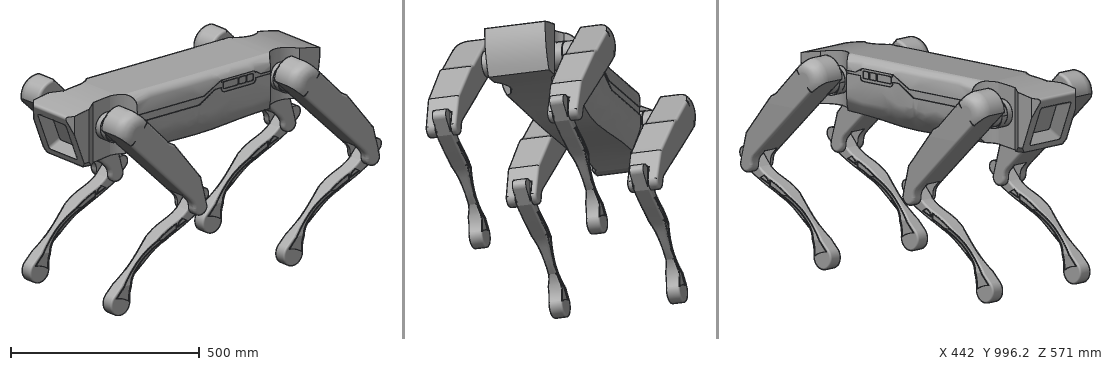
import cadquery as cq
import math


HEIGHT = 571.0
HIP_PITCH = 600.0
HIP_Z = 493.0
HIP_YS = (-HIP_PITCH / 2, HIP_PITCH / 2)
SIDES = (-1, 1)
REACH = 1195.0

COLLAR_DIA = 75.0
COLLAR_SHIFT = 3.0
COLLAR_ROOT_X = 40.0
COLLAR_FACE_X = 101.0
SHAFT_DIA = 69.0
SHAFT_END_X = 80.0

TRUNK_HALF_WIDTH = 110.0
NOSE_TOP = (-446.0, 548.0)
NOSE_BOTTOM = (-388.0, 397.0)
NOSE_CORNER_RADIUS = 8.0
NOSE_HALF_WIDTH = 84.0
TAIL_HALF_WIDTH = 86.0
WAIST_HALF_WIDTH = 61.0
NOSE_CLEAR_Y = -449.0
RECESS_FRONT_Y = -229.0
RECESS_REAR_Y = 231.0

POCKET_CENTRE_Z = 468.0
POCKET_DEPTH = 27.0
POCKET_MOUTH = (117.0, 116.0)
POCKET_FLOOR = (71.0, 78.0)
POCKET_CORNER_RADIUS = 7.0

STRIP_DEPTH = 3.0
PANEL_Y = 123.0
PANEL_Z = 529.0
PANEL_SIZE = (120.0, 36.0)
PANEL_RADIUS = 12.0
PORT_DEPTH = 5.0
PORT_HEIGHT = 20.0
PORT_RADIUS = 4.0
PORTS = ((163.0, 22.0), (137.0, 25.0), (97.0, 52.0))

THIGH_INNER_X = 128.0
THIGH_OUTER_X = 221.0
KNEE_OUTER_X = 215.0
THIGH_TAPER_Z = 433.0
HIP_ARC_RADIUS = 58.0
HIP_ARC_Y = -17.0
HIP_ARC_Z = HEIGHT - HIP_ARC_RADIUS
HIP_DOME_RADIUS = 36.0
THIGH_EDGE_RADIUS = 8.0
KNEE_Y = 202.0
KNEE_Z = 254.0
KNEE_RADIUS = 23.0
SLOT_TOP_Z = 293.0

CALF_X = 166.0
CALF_WIDTH = 45.0
CALF_NECK_WIDTH = 24.0
FOOT_WIDTH = 39.0
CALF_TAPER_Z = 181.0
CALF_NECK_Z = 108.0
FOOT_TAPER_Z = 78.0
FOOT_RADIUS = 33.0
FOOT_Y = -52.0
HEEL_RADIUS = 18.0
HEEL_Y = 235.0
HEEL_STEP_Y = 219.0
HEEL_WIDTH = 38.0
HEEL_Z = SLOT_TOP_Z - HEEL_RADIUS
CALF_EDGE_RADIUS = 5.0
WEB_RECESS = 3.0

DIAGONAL = math.sqrt(0.5)


def trunk_side():
    """Side silhouette of the trunk, extruded across X."""
    return (
        cq.Workplane("YZ", origin=(-REACH / 2, 0, 0))
        .moveTo(-269.0, HEIGHT)
        .lineTo(239.0, HEIGHT)
        .tangentArcPoint((423.0, 548.0), relative=False)
        .threePointArc((418.0, 489.0), (394.0, 420.0))
        .lineTo(319.0, 420.0)
        .spline([(224.0, 417.0), (145.0, 411.0), (62.0, 400.0), (-95.0, 400.0), (-353.0, 394.0)], includeCurrent=True)
        .lineTo(*NOSE_BOTTOM)
        .lineTo(*NOSE_TOP)
        .threePointArc((-358.0, 563.0), (-269.0, HEIGHT))
        .close()
        .extrude(REACH)
        .edges(cq.selectors.NearestToPointSelector((0, *NOSE_TOP)))
        .fillet(NOSE_CORNER_RADIUS)
    )


def trunk_section():
    """Cross-section of the trunk, extruded along Y."""
    half = (
        cq.Workplane("XZ", origin=(0, REACH / 2, 0))
        .moveTo(0, HEIGHT)
        .lineTo(78.0, HEIGHT)
        .spline(
            [
                (96.0, 563.0),
                (105.0, 552.0),
                (108.0, 530.0),
                (TRUNK_HALF_WIDTH, 492.0),
                (108.0, 454.0),
                (102.0, 439.0),
                (66.0, 388.0),
            ],
            includeCurrent=True,
        )
        .lineTo(0, 388.0)
        .close()
        .extrude(REACH)
    )
    return half.union(half.mirror("YZ"))


def hip_recess(side):
    """Recesses that leave room for the hips, and trims beside the nose and tail."""
    front = (
        cq.Workplane("XY")
        .moveTo(REACH, RECESS_FRONT_Y)
        .lineTo(TRUNK_HALF_WIDTH, RECESS_FRONT_Y)
        .threePointArc((80.0, -248.0), (WAIST_HALF_WIDTH, -284.0))
        .lineTo(WAIST_HALF_WIDTH, -344.0)
        .lineTo(NOSE_HALF_WIDTH, -377.0)
        .lineTo(NOSE_HALF_WIDTH, -427.0)
        .lineTo(WAIST_HALF_WIDTH, NOSE_CLEAR_Y)
        .lineTo(REACH, NOSE_CLEAR_Y)
        .close()
        .extrude(REACH)
    )
    rear = (
        cq.Workplane("XY")
        .moveTo(REACH, RECESS_REAR_Y)
        .lineTo(TRUNK_HALF_WIDTH, RECESS_REAR_Y)
        .lineTo(76.0, 256.0)
        .threePointArc((WAIST_HALF_WIDTH, 301.0), (TAIL_HALF_WIDTH, 352.0))
        .lineTo(TAIL_HALF_WIDTH, REACH)
        .lineTo(REACH, REACH)
        .close()
        .extrude(REACH)
    )
    recess = front.union(rear)
    return recess if side > 0 else recess.mirror("YZ")


def sensor_pocket():
    """Tapered pocket sunk square to the sloping nose face."""
    run_y = NOSE_BOTTOM[0] - NOSE_TOP[0]
    drop_z = NOSE_TOP[1] - NOSE_BOTTOM[1]
    centre_y = NOSE_TOP[0] + run_y * (NOSE_TOP[1] - POCKET_CENTRE_Z) / drop_z
    face = cq.Plane(
        origin=(0, centre_y, POCKET_CENTRE_Z),
        xDir=(1, 0, 0),
        normal=(0, drop_z, run_y),
    )
    mouth = cq.Sketch().rect(*POCKET_MOUTH).vertices().fillet(POCKET_CORNER_RADIUS)
    floor = cq.Sketch().rect(*POCKET_FLOOR).vertices().fillet(POCKET_CORNER_RADIUS)
    floor = floor.moved(cq.Location(cq.Vector(0, 0, POCKET_DEPTH)))
    return cq.Workplane(face).placeSketch(mouth, floor).loft()


def flank_cut(depth, outline):
    """Cutter that sinks a YZ sketch to a depth in the +X flank."""
    plane = cq.Workplane("YZ", origin=(TRUNK_HALF_WIDTH - depth, 0, 0))
    return plane.placeSketch(outline).extrude(REACH)


def flank_trim(side):
    """Trim strip, port panel and ports of one flank."""
    rear_strip = cq.Sketch().polygon(
        [(239.0, 532.0), (200.0, 532.0), (181.0, 543.0), (181.0, 525.0), (239.0, 525.0), (239.0, 532.0)]
    )
    front_strip = cq.Sketch().polygon(
        [
            (64.0, 546.0),
            (2.0, 515.0),
            (-239.0, 515.0),
            (-239.0, 494.0),
            (-15.0, 494.0),
            (41.0, 525.0),
            (64.0, 525.0),
            (64.0, 546.0),
        ]
    )
    panel = cq.Sketch().push([(PANEL_Y, PANEL_Z)]).rect(*PANEL_SIZE).reset().vertices().fillet(PANEL_RADIUS)
    cuts = flank_cut(STRIP_DEPTH, rear_strip)
    cuts = cuts.union(flank_cut(STRIP_DEPTH, front_strip))
    cuts = cuts.union(flank_cut(STRIP_DEPTH, panel))
    for port_y, length in PORTS:
        port = cq.Sketch().push([(port_y, PANEL_Z)]).rect(length, PORT_HEIGHT)
        port = port.reset().vertices().fillet(PORT_RADIUS)
        cuts = cuts.union(flank_cut(PORT_DEPTH, port))
    return cuts if side > 0 else cuts.mirror("YZ")


def hip_collar(side, hip_y):
    """Collar on the trunk around one hip shaft, set slightly off the shaft axis."""
    centre = (hip_y + COLLAR_SHIFT, HIP_Z - COLLAR_SHIFT)
    collar = (
        cq.Workplane("YZ", origin=(side * COLLAR_ROOT_X, 0, 0))
        .center(*centre)
        .circle(COLLAR_DIA / 2)
        .extrude(side * (COLLAR_FACE_X - COLLAR_ROOT_X))
    )
    socket = (
        cq.Workplane("YZ", origin=(side * SHAFT_END_X, hip_y, HIP_Z))
        .circle(SHAFT_DIA / 2)
        .extrude(side * (COLLAR_FACE_X - SHAFT_END_X))
    )
    return collar.cut(socket)


def make_trunk():
    body = trunk_side().intersect(trunk_section())
    for side in SIDES:
        body = body.cut(hip_recess(side)).cut(flank_trim(side))
    body = body.cut(sensor_pocket())
    for side in SIDES:
        for hip_y in HIP_YS:
            body = body.union(hip_collar(side, hip_y))
    return body


def thigh_blank():
    """Side silhouette of the thigh, from the hip arc round to the knee."""
    mid = HIP_ARC_RADIUS * DIAGONAL
    return (
        cq.Workplane("YZ", origin=(THIGH_INNER_X, 0, 0))
        .moveTo(HIP_ARC_Y, HEIGHT)
        .threePointArc((HIP_ARC_Y - mid, HIP_ARC_Z + mid), (HIP_ARC_Y - HIP_ARC_RADIUS, HIP_ARC_Z))
        .lineTo(162.0, 286.0)
        .spline([(KNEE_Y - KNEE_RADIUS, KNEE_Z)], tangents=[(1, -1), (0, -1)], includeCurrent=True)
        .threePointArc((KNEE_Y, KNEE_Z - KNEE_RADIUS), (KNEE_Y + KNEE_RADIUS, KNEE_Z))
        .lineTo(201.0, 341.0)
        .lineTo(190.0, 354.0)
        .lineTo(108.0, 453.0)
        .lineTo(90.0, 463.0)
        .close()
        .extrude(THIGH_OUTER_X - THIGH_INNER_X)
    )


def thigh_taper():
    """Wedge outside the outer face, which leans inward towards the knee."""
    knee_bottom = KNEE_Z - KNEE_RADIUS
    return (
        cq.Workplane("XZ")
        .moveTo(THIGH_OUTER_X, THIGH_TAPER_Z)
        .lineTo(KNEE_OUTER_X, knee_bottom)
        .lineTo(REACH, knee_bottom)
        .lineTo(REACH, THIGH_TAPER_Z)
        .close()
        .extrude(REACH, both=True)
    )


def hip_dome_cut():
    """Material outside the rounded outer rim of the hip end."""
    inner_radius = HIP_ARC_RADIUS - HIP_DOME_RADIUS
    base_x = THIGH_OUTER_X - HIP_DOME_RADIUS
    mid = HIP_DOME_RADIUS * DIAGONAL
    ring = (
        cq.Workplane("XY", origin=(0, HIP_ARC_Y, HIP_ARC_Z))
        .moveTo(THIGH_OUTER_X, inner_radius)
        .threePointArc((base_x + mid, inner_radius + mid), (base_x, HIP_ARC_RADIUS))
        .lineTo(base_x, 2 * HIP_ARC_RADIUS)
        .lineTo(THIGH_OUTER_X + 10, 2 * HIP_ARC_RADIUS)
        .lineTo(THIGH_OUTER_X + 10, inner_radius)
        .close()
        .revolve(360, (0, 0, 0), (1, 0, 0))
    )
    beyond_axis = (
        cq.Workplane("XY")
        .box(REACH, REACH, REACH, centered=(True, True, False))
        .rotate((0, 0, 0), (1, 0, 0), 45)
        .translate((0, HIP_ARC_Y, HIP_ARC_Z))
    )
    return ring.intersect(beyond_axis)


def make_thigh():
    """Thigh on the +X side with its hip axis at Y = 0."""
    thigh = thigh_blank().cut(thigh_taper())
    outer_faces = cq.selectors.BoxSelector((KNEE_OUTER_X, -REACH, 0), (REACH, REACH, REACH))
    thigh = thigh.faces(outer_faces).edges("not |Y").fillet(THIGH_EDGE_RADIUS)
    thigh = thigh.faces("<X").edges().fillet(THIGH_EDGE_RADIUS)
    thigh = thigh.cut(hip_dome_cut())
    slot = (
        cq.Workplane("XY", origin=(CALF_X, 0, 0))
        .rect(CALF_WIDTH, REACH)
        .extrude(SLOT_TOP_Z)
    )
    shaft = (
        cq.Workplane("YZ", origin=(SHAFT_END_X, 0, HIP_Z))
        .circle(SHAFT_DIA / 2)
        .extrude(THIGH_INNER_X + 10 - SHAFT_END_X)
    )
    return thigh.cut(slot).union(shaft)


def calf_side():
    """Side silhouette of the calf: heel, S-shaped shank and round foot."""
    side = HEEL_RADIUS * DIAGONAL
    foot = FOOT_RADIUS * DIAGONAL
    return (
        cq.Workplane("YZ", origin=(CALF_X - CALF_WIDTH, 0, 0))
        .moveTo(HEEL_Y, SLOT_TOP_Z)
        .threePointArc((HEEL_Y + HEEL_RADIUS, HEEL_Z), (HEEL_Y + side, HEEL_Z - side))
        .lineTo(211.0, 228.0)
        .spline([(179.0, 211.0), (146.0, 196.0), (86.0, 167.0), (56.0, 143.0), (3.0, 103.0)], includeCurrent=True)
        .threePointArc((-14.0, 73.0), (FOOT_Y + FOOT_RADIUS, FOOT_RADIUS))
        .threePointArc((FOOT_Y - foot, FOOT_RADIUS - foot), (FOOT_Y - foot, FOOT_RADIUS + foot))
        .lineTo(9.0, 136.0)
        .spline([(42.0, 166.0), (73.0, 190.0), (103.0, 208.0), (139.0, 223.0), (176.0, 245.0)], includeCurrent=True)
        .lineTo(219.0, SLOT_TOP_Z)
        .close()
        .extrude(2 * CALF_WIDTH)
    )


def calf_front(inset):
    """Front silhouette of the calf, narrowed by an inset on each side."""
    knee = CALF_WIDTH / 2 - inset
    neck = CALF_NECK_WIDTH / 2 - inset
    foot = FOOT_WIDTH / 2 - inset
    return (
        cq.Workplane("XZ", origin=(CALF_X, REACH / 2, 0))
        .moveTo(knee, REACH)
        .lineTo(knee, CALF_TAPER_Z)
        .spline([(neck, CALF_NECK_Z), (foot, FOOT_TAPER_Z)], includeCurrent=True)
        .lineTo(foot, 0)
        .lineTo(-foot, 0)
        .lineTo(-foot, FOOT_TAPER_Z)
        .spline([(-neck, CALF_NECK_Z), (-knee, CALF_TAPER_Z)], includeCurrent=True)
        .lineTo(-knee, REACH)
        .close()
        .extrude(REACH)
    )


def heel_sides():
    """Material beside the heel, which is narrower than the knee."""
    plane = cq.Workplane("XZ", origin=(CALF_X, HEEL_Y + 2 * HEEL_RADIUS, 0))
    block = plane.rect(2 * CALF_WIDTH, REACH).extrude(HEEL_Y + 2 * HEEL_RADIUS - HEEL_STEP_Y)
    core = plane.rect(HEEL_WIDTH, REACH).extrude(REACH)
    return block.cut(core)


def calf_web():
    """Areas of the calf that are sunk on both sides, leaving a rim."""
    shank = (
        cq.Workplane("YZ", origin=(CALF_X - CALF_WIDTH, 0, 0))
        .moveTo(138.0, 216.0)
        .spline([(72.0, 182.0), (7.0, 127.5)], includeCurrent=True)
        .lineTo(-67.0, 51.0)
        .threePointArc((-43.0, 45.0), (-23.0, 34.0))
        .threePointArc((-18.0, 76.0), (5.0, 112.0))
        .spline([(83.0, 174.0), (138.0, 200.0)], includeCurrent=True)
        .close()
        .extrude(2 * CALF_WIDTH)
    )
    gusset = (
        cq.Workplane("YZ", origin=(CALF_X - CALF_WIDTH, 0, 0))
        .polyline([(174.0, 217.0), (159.0, 226.0), (147.0, 217.0), (142.0, 205.0)])
        .close()
        .extrude(2 * CALF_WIDTH)
    )
    return shank.union(gusset)


def make_calf():
    """Calf on the +X side with its hip axis at Y = 0."""
    blank = calf_side().intersect(calf_front(0))
    blank = blank.edges("not |X").fillet(CALF_EDGE_RADIUS)
    blank = blank.cut(heel_sides())
    skin = calf_front(0).cut(calf_front(WEB_RECESS))
    return blank.cut(calf_web().intersect(skin))


def place_legs(part):
    """One copy of a +X leg part at each hip."""
    copies = []
    for side in SIDES:
        leg_part = part if side > 0 else part.mirror("YZ")
        for hip_y in HIP_YS:
            copies.append(leg_part.translate((0, hip_y, 0)).val())
    return copies


trunk = make_trunk().solids()
thighs = place_legs(make_thigh().solids())
calves = place_legs(make_calf().solids())

result = cq.Compound.makeCompound([trunk.val(), *thighs, *calves])